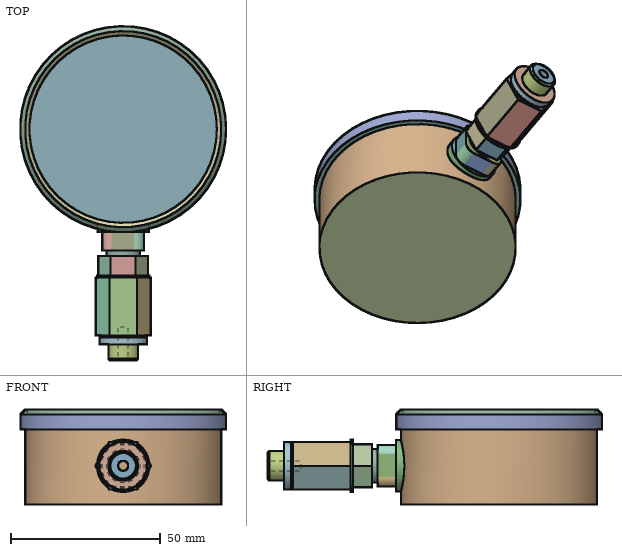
import cadquery as cq
import math

case_diameter = 65.9
bezel_diameter = 69.1
total_height = 32.0
bezel_height = 6.7
bezel_chamfer = 1.7
glass_diameter = 62.8
glass_depth = 1.8

stem_height = 13.0
stem_root = 28.0
flange_end = bezel_diameter / 2
flange_diameter = 17.4
square_length = 6.2
square_width = 14.0
square_corner_radius = 3.1
neck_length = 1.8
neck_diameter = 11.3
small_hex_length = 6.5
small_hex_flats = 14.5
washer_length = 0.8
washer_diameter = 17.5
large_hex_length = 19.3
large_hex_flats = 16.0
groove_length = 0.7
groove_diameter = 15.0
collar_length = 2.4
collar_diameter = 16.0
tip_end = 112.2 - bezel_diameter / 2
tip_diameter = 10.0
tip_chamfer = 0.7
bore_diameter = 3.4
bore_depth = 11.2


def make_case():
    """Revolve the drum, its bezel with a sharp rim, and the sunken glass."""
    case_radius = case_diameter / 2
    bezel_radius = bezel_diameter / 2
    profile = [
        (0, 0),
        (case_radius, 0),
        (case_radius, total_height - bezel_height),
        (bezel_radius, total_height - bezel_height),
        (bezel_radius, total_height - bezel_chamfer),
        (bezel_radius - bezel_chamfer, total_height),
        (glass_diameter / 2, total_height - glass_depth),
        (0, total_height - glass_depth),
    ]
    return cq.Workplane("XZ").polyline(profile).close().revolve(360, (0, 0, 0), (0, 1, 0))


def stem_plane(distance):
    """Workplane across the stem, at a distance from the case axis, facing -Y."""
    return cq.Workplane("XZ", origin=(0, -distance, stem_height))


def round_section(start, diameter, length):
    return stem_plane(start).circle(diameter / 2).extrude(length)


def hex_section(start, across_flats, length):
    """Hexagon with two corners on the X axis."""
    across_corners = across_flats / math.cos(math.pi / 6)
    return stem_plane(start).polygon(6, across_corners).extrude(length)


def square_section(start, width, length):
    block = stem_plane(start).rect(width, width).extrude(length)
    return block.edges("|Y").fillet(square_corner_radius)


square_start = flange_end
neck_start = square_start + square_length
small_hex_start = neck_start + neck_length
washer_start = small_hex_start + small_hex_length
large_hex_start = washer_start + washer_length
groove_start = large_hex_start + large_hex_length
collar_start = groove_start + groove_length
tip_start = collar_start + collar_length

tip = round_section(tip_start, tip_diameter, tip_end - tip_start).faces("<Y").chamfer(tip_chamfer)
stem_sections = [
    round_section(stem_root, flange_diameter, flange_end - stem_root),
    square_section(square_start, square_width, square_length),
    round_section(neck_start, neck_diameter, neck_length),
    hex_section(small_hex_start, small_hex_flats, small_hex_length),
    round_section(washer_start, washer_diameter, washer_length),
    hex_section(large_hex_start, large_hex_flats, large_hex_length),
    round_section(groove_start, groove_diameter, groove_length),
    round_section(collar_start, collar_diameter, collar_length),
    tip,
]

result = make_case()
for section in stem_sections:
    result = result.union(section)

result = result.cut(round_section(tip_end - bore_depth, bore_diameter, bore_depth))